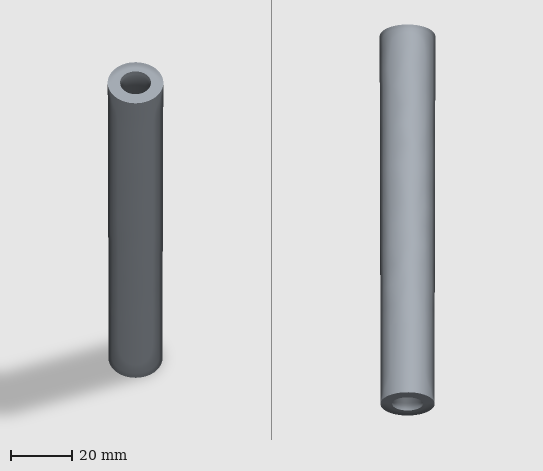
import cadquery as cq

length = 133.35
shank_length = 25.4

shank_diameter = 17.78
top_diameter = 18.288
bore_diameter = 10.1


def make_tube():
    """Straight shank, then a body that widens slightly to the top, around a through bore."""
    bore_radius = bore_diameter / 2
    shank_radius = shank_diameter / 2
    top_radius = top_diameter / 2
    wall_section = (
        cq.Workplane("XZ")
        .moveTo(bore_radius, 0)
        .lineTo(shank_radius, 0)
        .lineTo(shank_radius, shank_length)
        .lineTo(top_radius, length)
        .lineTo(bore_radius, length)
        .close()
    )
    axis_start = (0, 0)
    axis_end = (0, 1)
    return wall_section.revolve(360, axis_start, axis_end)


result = make_tube()